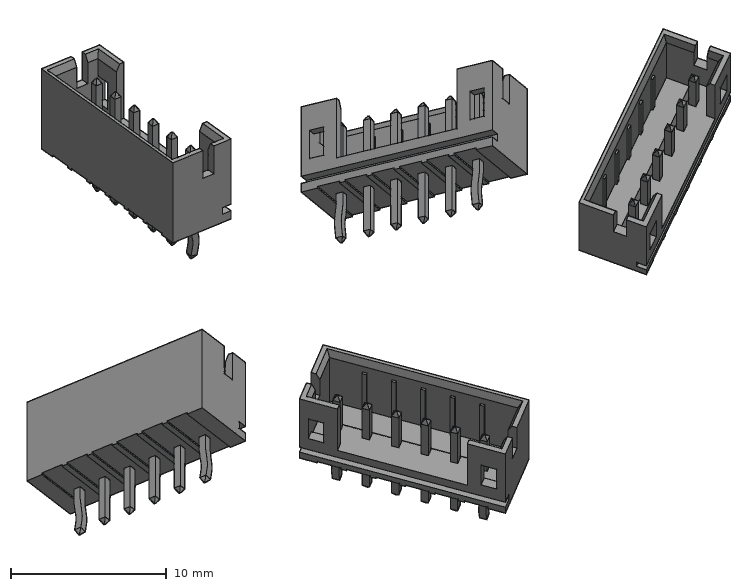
import cadquery as cq
import math


length = 14
depth = 4.7
height = 6.13
end_wall = 0.6
front_wall = 0.48
back_wall = 0.6
lead_in_width = 0.25
lead_in_height = 0.52

pin_floor_z = 1.85
front_floor_z = 1.12
slope_top_y = 2.58
slope_bottom_y = 2.09

end_slot_width = 0.9
end_slot_depth = 2.13
end_slot_front_y = 2.41
back_opening_width = 8.82
window_width = 1.05
window_bottom_z = 2.27
window_top_z = 4.3
back_groove_depth = 0.69
back_groove_bottom_z = 0.63
back_groove_top_z = 1.13

pin_count = 6
pin_pitch = 14 / 7
pin_width = 0.5
pin_y = 2.97
pin_top_z = 5.25
pin_bottom_z = -3.37
tip_length = 0.34
tip_flat = 0.1

kink_start_z = -0.66
kink_radius = 1.36
kink_out_angle = 11.5
kink_back_angle = 11
kink_out_length = 0.88

foot_groove_width = 1.6
foot_height = 0.13
rib_width = 0.31
rib_depth = 0.14
rib_top_z = 5.04

cavity_length = length - 2 * end_wall
cavity_back_y = depth - back_wall
pin_xs = [(i - (pin_count - 1) / 2) * pin_pitch for i in range(pin_count)]
rib_xs = [x + pin_pitch / 2 for x in pin_xs[:-1]]


def block(x_center, x_size, y_range, z_range):
    """Box centred at x_center in X, spanning the given Y and Z ranges."""
    y_start, y_end = y_range
    z_start, z_end = z_range
    return (
        cq.Workplane("XY")
        .box(x_size, y_end - y_start, z_end - z_start, centered=(True, False, False))
        .translate((x_center, y_start, z_start))
    )


def cavity():
    """Inside of the shroud, down to its stepped floor."""
    return (
        cq.Workplane("YZ")
        .moveTo(front_wall, height)
        .lineTo(front_wall, front_floor_z)
        .lineTo(slope_bottom_y, front_floor_z)
        .lineTo(slope_top_y, pin_floor_z)
        .lineTo(cavity_back_y, pin_floor_z)
        .lineTo(cavity_back_y, height)
        .close()
        .extrude(cavity_length / 2, both=True)
    )


def lead_in():
    """Bevel around the mouth of the cavity."""
    cavity_width = cavity_back_y - front_wall
    return (
        cq.Workplane("XY", origin=(0, (front_wall + cavity_back_y) / 2, height - lead_in_height))
        .rect(cavity_length, cavity_width)
        .workplane(offset=lead_in_height)
        .rect(cavity_length + 2 * lead_in_width, cavity_width + 2 * lead_in_width)
        .loft(ruled=True)
    )


def housing():
    """Shroud with its cavity, wall openings, ribs and feet, without the pins."""
    body = block(0, length, (0, depth), (0, height)).cut(cavity()).cut(lead_in())

    rib_z = (front_floor_z, rib_top_z)
    for x in rib_xs:
        body = body.union(block(x, rib_width, (front_wall, front_wall + rib_depth), rib_z))

    end_slot_y = (end_slot_front_y, end_slot_front_y + end_slot_width)
    body = body.cut(block(0, length, end_slot_y, (height - end_slot_depth, height)))

    back_wall_y = (cavity_back_y, depth)
    body = body.cut(block(0, back_opening_width, back_wall_y, (pin_floor_z, height)))
    for side in (-1, 1):
        window_x = side * (cavity_length - window_width) / 2
        body = body.cut(block(window_x, window_width, back_wall_y, (window_bottom_z, window_top_z)))

    groove_y = (depth - back_groove_depth, depth)
    body = body.cut(block(0, length, groove_y, (back_groove_bottom_z, back_groove_top_z)))

    for x in pin_xs:
        body = body.cut(block(x, foot_groove_width, (0, depth), (0, foot_height)))
    return body


def tip(base_plane):
    """Tapered pin end that grows from base_plane along its normal."""
    return (
        cq.Workplane(base_plane)
        .rect(pin_width, pin_width)
        .workplane(offset=tip_length)
        .rect(tip_flat, tip_flat)
        .loft(ruled=True)
    )


def pin_shaft(x, bottom_z):
    """Straight pin with its upper tip, square-cut at bottom_z."""
    shaft_top_z = pin_top_z - tip_length
    y_range = (pin_y - pin_width / 2, pin_y + pin_width / 2)
    shaft = block(x, pin_width, y_range, (bottom_z, shaft_top_z))
    return shaft.union(tip(cq.Plane(origin=(x, pin_y, shaft_top_z))))


def straight_pin(x):
    """Pin that runs straight from tip to tip."""
    shaft_bottom_z = pin_bottom_z + tip_length
    bottom = cq.Plane(origin=(x, pin_y, shaft_bottom_z), normal=(0, 0, -1), xDir=(1, 0, 0))
    return pin_shaft(x, shaft_bottom_z).union(tip(bottom))


def kinked_pin(x):
    """Pin whose tail swings toward the back and returns to the pin row."""
    out_angle = math.radians(kink_out_angle)
    back_angle = math.radians(kink_back_angle)
    sin_out, cos_out = math.sin(out_angle), math.cos(out_angle)
    sin_back, cos_back = math.sin(back_angle), math.cos(back_angle)

    out_y = pin_y + kink_radius * (1 - cos_out)
    out_z = kink_start_z - kink_radius * sin_out
    turn_y = out_y + kink_out_length * sin_out
    turn_z = out_z - kink_out_length * cos_out
    peak_y = turn_y + kink_radius * (1 - cos_out)
    peak_z = turn_z - kink_radius * sin_out
    back_y = peak_y - kink_radius * (1 - cos_back)
    back_z = peak_z - kink_radius * sin_back
    tip_end_z = pin_bottom_z + tip_flat / 2 * sin_back
    return_length = (back_z - tip_end_z) / cos_back - tip_length
    end_y = back_y - return_length * sin_back
    end_z = back_z - return_length * cos_back

    half_out = out_angle / 2
    bend_mid_y = pin_y + kink_radius * (1 - math.cos(half_out))
    bend_mid_z = kink_start_z - kink_radius * math.sin(half_out)
    center_line = (
        cq.Workplane("YZ", origin=(x, 0, 0))
        .moveTo(pin_y, kink_start_z)
        .threePointArc((bend_mid_y, bend_mid_z), (out_y, out_z))
        .lineTo(turn_y, turn_z)
        .threePointArc((peak_y, peak_z), (back_y, back_z))
        .lineTo(end_y, end_z)
    )
    tail = (
        cq.Workplane("XY", origin=(x, pin_y, kink_start_z))
        .rect(pin_width, pin_width)
        .sweep(center_line)
    )
    end = cq.Plane(origin=(x, end_y, end_z), normal=(0, -sin_back, -cos_back), xDir=(1, 0, 0))
    return pin_shaft(x, kink_start_z).union(tail).union(tip(end))


result = housing()
for pin_x in pin_xs[1:-1]:
    result = result.union(straight_pin(pin_x))
for pin_x in (pin_xs[0], pin_xs[-1]):
    result = result.union(kinked_pin(pin_x))